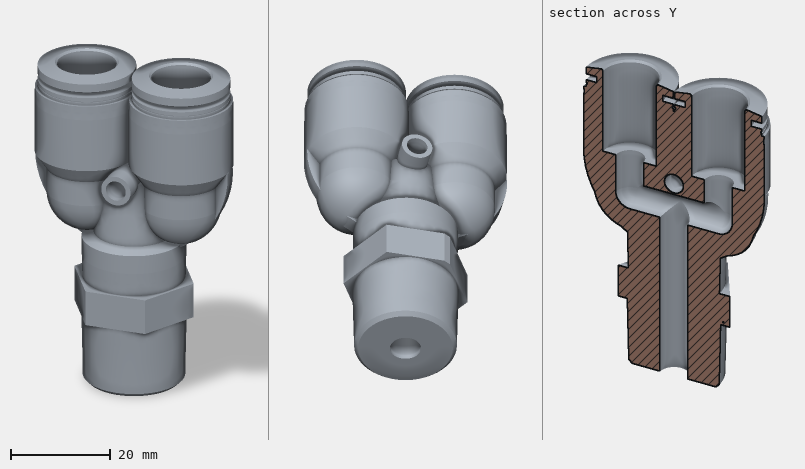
import cadquery as cq
import math

overall_height = 67.7
port_outer_radius = 10.5
port_offset = 10.0
bend_radius = 8.1
bend_z = 39.6
passage_radius = 3.1

body_bottom_z = 48.35
body_shoulder_z = 44.9
body_taper_z = 59.5
body_top_z = 62.5
body_top_radius = 10.4
cap_radius = 9.9
cap_top_z = 64.1
groove_z = 63.1
groove_height = 0.2
groove_depth = 0.2
release_neck_radius = 7.5
release_flange_z = 65.4
release_edge_z = 67.1
tube_bore_radius = 5.99
tube_bore_bottom_z = body_bottom_z
mouth_chamfer = 0.4

stem_top_radius = 6.85
stem_bottom_radius = 8.1
stem_bottom_z = 32.2
collar_top_z = 31.2
collar_taper_z = 27.3
collar_radius = 10.5
collar_bottom_radius = 10.35
hex_across_flats = 22.0
hex_bottom_z = 15.0
hex_top_z = 22.4
hex_corner_chamfer = 0.9
thread_top_radius = 10.6
thread_end_radius = 10.3
thread_chamfer_z = 0.8
thread_face_radius = 9.5

eye_radius = 3.1
eye_hole_radius = 2.1
eye_length = 21.25
eye_z = 45.3

web_thickness = 3.1
web_half_width = port_offset + port_outer_radius
web_arc_top_z = 47.65
web_arc_radius = 19.2
web_arc_angle = math.radians(57)
web_foot_x = 10.55


def revolve_profile(points):
    """Revolve (radius, z) points about the Z axis."""
    return cq.Workplane("XZ").polyline(points).close().revolve(360, (0, 0), (0, 1))


def make_port(x):
    shell = revolve_profile([
        (0, bend_z),
        (bend_radius, bend_z),
        (bend_radius, body_shoulder_z),
        (port_outer_radius, body_bottom_z),
        (port_outer_radius, body_taper_z),
        (body_top_radius, body_top_z),
        (cap_radius, body_top_z),
        (cap_radius, groove_z),
        (cap_radius - groove_depth, groove_z),
        (cap_radius - groove_depth, groove_z + groove_height),
        (cap_radius, groove_z + groove_height),
        (cap_radius, cap_top_z),
        (release_neck_radius, cap_top_z),
        (release_neck_radius, release_flange_z),
        (cap_radius, release_flange_z),
        (cap_radius, release_edge_z),
        (tube_bore_radius + mouth_chamfer, overall_height),
        (0, overall_height),
    ])
    rounded_end = cq.Workplane("XY").sphere(bend_radius).translate((0, 0, bend_z))
    return shell.union(rounded_end).translate((x, 0, 0))


def make_port_bore(x):
    """Tube socket with a flared mouth, over a passage with a round bottom."""
    bore = revolve_profile([
        (0, bend_z),
        (passage_radius, bend_z),
        (passage_radius, tube_bore_bottom_z),
        (tube_bore_radius, tube_bore_bottom_z),
        (tube_bore_radius, overall_height - mouth_chamfer),
        (tube_bore_radius + mouth_chamfer, overall_height),
        (0, overall_height),
    ])
    round_bottom = cq.Workplane("XY").sphere(passage_radius).translate((0, 0, bend_z))
    return bore.union(round_bottom).translate((x, 0, 0))


def make_stem():
    turned = revolve_profile([
        (0, 0),
        (thread_face_radius, 0),
        (thread_end_radius, thread_chamfer_z),
        (thread_top_radius, hex_bottom_z),
        (collar_bottom_radius, hex_top_z),
        (collar_radius, collar_taper_z),
        (collar_radius, collar_top_z),
        (stem_bottom_radius, stem_bottom_z),
        (stem_top_radius, eye_z),
        (0, eye_z),
    ])
    hex_across_corners = hex_across_flats / math.cos(math.pi / 6)
    marked_corner = cq.DirectionMinMaxSelector(cq.Vector(-1, math.sqrt(3), 0))
    hexagon = (
        cq.Workplane("XY")
        .workplane(offset=hex_bottom_z)
        .polygon(6, hex_across_corners)
        .extrude(hex_top_z - hex_bottom_z)
        .edges("|Z")
        .edges(marked_corner)
        .chamfer(hex_corner_chamfer)
    )
    return turned.union(hexagon)


def make_web():
    """Flat web with a curved flank that runs tangentially down to the collar."""
    def arc_point(angle):
        x = web_half_width - web_arc_radius * (1 - math.cos(angle))
        z = web_arc_top_z - web_arc_radius * math.sin(angle)
        return x, z

    arc_end = arc_point(web_arc_angle)
    foot_z = arc_end[1] - (arc_end[0] - web_foot_x) / math.tan(web_arc_angle)
    half = (
        cq.Workplane("XZ")
        .moveTo(0, body_bottom_z)
        .lineTo(web_half_width, body_bottom_z)
        .lineTo(web_half_width, web_arc_top_z)
        .threePointArc(arc_point(web_arc_angle / 2), arc_end)
        .lineTo(web_foot_x, foot_z)
        .lineTo(0, foot_z)
        .close()
        .extrude(web_thickness / 2, both=True)
    )
    return half.union(half.mirror("YZ"))


def cross_cylinder(radius):
    """Cylinder along Y at the mounting eye."""
    return (
        cq.Workplane("XZ")
        .center(0, eye_z)
        .circle(radius)
        .extrude(eye_length / 2, both=True)
    )


def make_passages():
    """Cross passage joining both ports and the outlet through the thread."""
    cross = (
        cq.Workplane("YZ")
        .center(0, bend_z)
        .circle(passage_radius)
        .extrude(port_offset, both=True)
    )
    outlet = cq.Workplane("XY").circle(passage_radius).extrude(bend_z)
    return cross.union(outlet)


port_positions = (-port_offset, port_offset)

result = make_stem().union(make_web()).union(cross_cylinder(eye_radius))
for port_x in port_positions:
    result = result.union(make_port(port_x))
for port_x in port_positions:
    result = result.cut(make_port_bore(port_x))
result = result.cut(make_passages()).cut(cross_cylinder(eye_hole_radius))